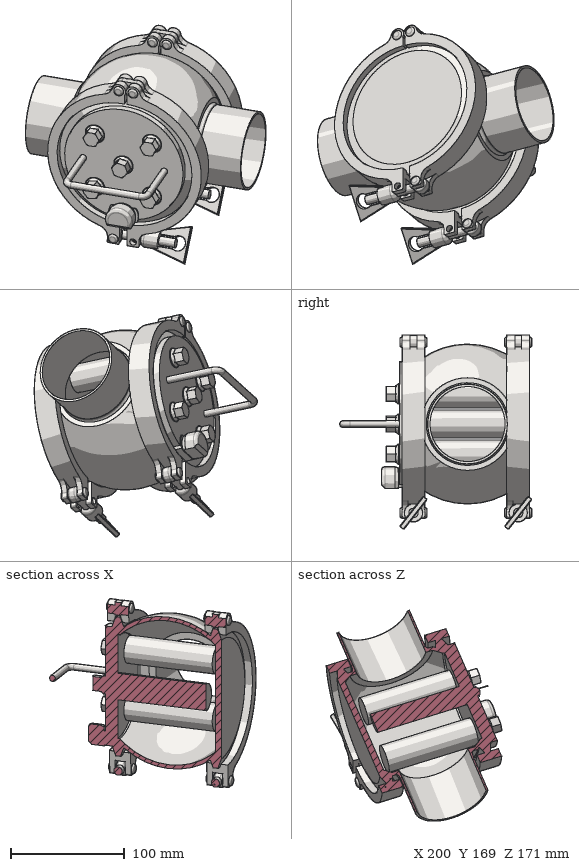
import cadquery as cq
import math


PIPE_LENGTH = 200
PIPE_DIA = 70
PIPE_BORE = 66
BALL_RADIUS = 70.5
BALL_WALL = 4
PORT_FLAT_X = 57.5
WELD_NECK_DIA = 70.5
WELD_NECK_LENGTH = 4
FLARE_DIA = 72.8
FLARE_LENGTH = 3.0

FRONT_JOINT_Y = -47.5
BACK_JOINT_Y = 44.5
FLANGE_RADIUS = 64.5
FLANGE_RIM = 2.5
FLANGE_TAPER = 3.5
COVER_RADIUS = 55.0
HOUSING_MOUTH_RADIUS = 48
COVER_FACE_Y = -59.8

TUBE_DIA = 25.0
TUBE_END_Y = 36
BOLT_SPACING = 53.0
BOLT_SEAT_DIA = 16.8
BOLT_SEAT_HEIGHT = 1.0
BOLT_FLANGE_DIA = 18
BOLT_FLANGE_TOP_DIA = 14
BOLT_FLANGE_HEIGHT = 2.8
BOLT_HEIGHT = 11.8
HEX_FLATS = 13.2
HEX_TOP_DIA = 14
HEX_CHAMFER = 0.5

HANDLE_DIA = 6
HANDLE_SPAN = 75.5
HANDLE_BEND = 6
HANDLE_END_Y = -112.5

KNOB_DIA = 25.0
KNOB_Z = -50
KNOB_FLAT_Z = -56.8
KNOB_BASE_Y = -60.8
KNOB_TOP_Y = -75.8
KNOB_ROUND = 3.2
KNOB_BASE_BEVEL = 1.2
KNOB_STEM_RADIUS = 13.8
KNOB_STEM_TOP_Z = -42.5
KNOB_STEM_BOTTOM_Z = -56

CLAMP_WIDTH = 20.2
CLAMP_RADIUS = 69.5
CLAMP_BORE_RADIUS = 60.8
CLAMP_CENTER_X = 1.8
CLAMP_CENTER_Z = -0.8
CLAMP_SPLIT_X = 2.2
HINGE_X = 1.2
PIN_X = 7.8
HINGE_Z = 72
EAR_RADIUS = 6.5
EAR_BLEND = 10
LINK_WIDTH = 6
LINK_RADIUS = 6.2
LUG_OUTER_X = 13.2
LUG_BOTTOM_Z = -83.0
LUG_CORNER = 1.2
LUG_BLEND = 10
LUG_SLOT = 9.5
ROOT_SEARCH = 4
LUG_HOLE_DIA = 6
OPENING_ANGLE = 2
PIN_DIA = 9.0
PIN_LENGTH = 24
PIN_ROUND = 1.8

EYE_BOLT_Z = -78.2
EYE_DIA = 13.5
EYE_WIDTH = 9.0
EYE_ROUND = 2
EYE_BOLT_DIA = 8.2
EYE_BOLT_END_X = 44.2
NUT_DIA = 16
NUT_END_X = 29.5
NUT_ROUND = 3.5
WING_START_X = 24
WING_END_X = 55.8
WING_START_WIDTH = 16
WING_END_WIDTH = 33.5
WING_THICKNESS = 4.5
WING_TILT = 38
WING_HOLE_DIA = 13.5
WING_HOLE_X = 46.8
WING_SLOT = 11.0
WING_BEVEL = 0.5


def y_cylinder(radius, start, end, x=0, z=0):
    """Cylinder along Y between two Y positions."""
    length = abs(end - start)
    disc = cq.Workplane("XZ", origin=(x, max(start, end), z)).circle(radius)
    return disc.extrude(length)


def x_cylinder(radius, start, end, z=0):
    """Cylinder along +X between two X positions."""
    return cq.Workplane("YZ", origin=(start, 0, z)).circle(radius).extrude(end - start)


def y_revolve(points):
    """Turn a (radius, y) outline about the Y axis."""
    return cq.Workplane("XY").polyline(points).close().revolve(360, (0, 0), (0, 1))


def half_flange(joint_y, side, tip_radius):
    """One tapered flange; side is +1 when it extends toward +Y."""
    rim_y = joint_y + side * FLANGE_RIM
    tip_y = rim_y + side * FLANGE_TAPER
    return y_revolve([(0, joint_y), (FLANGE_RADIUS, joint_y), (FLANGE_RADIUS, rim_y),
                      (tip_radius, tip_y), (0, tip_y)])


def make_housing():
    middle_y = (FRONT_JOINT_Y + BACK_JOINT_Y) / 2
    joint_gap = BACK_JOINT_Y - FRONT_JOINT_Y
    envelope = cq.Workplane("XY").box(2 * PORT_FLAT_X, joint_gap, 2 * BALL_RADIUS)
    envelope = envelope.translate((0, middle_y, 0))
    flanges = half_flange(FRONT_JOINT_Y, 1, COVER_RADIUS)
    flanges = flanges.union(half_flange(BACK_JOINT_Y, -1, COVER_RADIUS))
    body = cq.Workplane("XY").sphere(BALL_RADIUS).intersect(envelope).union(flanges)

    neck_end = PORT_FLAT_X + WELD_NECK_LENGTH
    flare_end = PORT_FLAT_X + FLARE_LENGTH
    neck_radius = WELD_NECK_DIA / 2
    flare_rise = FLARE_DIA / 2 - neck_radius
    flare_arc = (FLARE_LENGTH ** 2 + flare_rise ** 2) / (2 * flare_rise)
    pipe_end = PIPE_LENGTH / 2
    pipe = (cq.Workplane("XY").lineTo(0, FLARE_DIA / 2).lineTo(PORT_FLAT_X, FLARE_DIA / 2)
            .radiusArc((flare_end, neck_radius), -flare_arc).lineTo(neck_end, neck_radius)
            .lineTo(neck_end, PIPE_DIA / 2).lineTo(pipe_end, PIPE_DIA / 2).lineTo(pipe_end, 0)
            .close().revolve(360, (0, 0), (1, 0)))
    body = body.union(pipe).union(pipe.mirror("YZ"))

    inner_envelope = cq.Workplane("XY").box(2 * (PORT_FLAT_X - BALL_WALL), joint_gap, 2 * BALL_RADIUS)
    inner_envelope = inner_envelope.translate((0, middle_y, 0))
    cavity = cq.Workplane("XY").sphere(BALL_RADIUS - BALL_WALL).intersect(inner_envelope)
    mouths = y_cylinder(HOUSING_MOUTH_RADIUS, FRONT_JOINT_Y, BACK_JOINT_Y)
    bore = x_cylinder(PIPE_BORE / 2, -PIPE_LENGTH / 2, PIPE_LENGTH / 2)
    return body.cut(cavity).cut(mouths).cut(bore)


def make_covers():
    front = half_flange(FRONT_JOINT_Y, -1, COVER_RADIUS)
    front = front.union(y_cylinder(COVER_RADIUS, FRONT_JOINT_Y, COVER_FACE_Y))
    return front.union(half_flange(BACK_JOINT_Y, 1, COVER_RADIUS))


def make_bolt(x, z, turn):
    """Flanged hex head on the front cover, one corner toward +X before turning."""
    flange_y = COVER_FACE_Y - BOLT_SEAT_HEIGHT
    end_y = COVER_FACE_Y - BOLT_HEIGHT
    corner_dia = HEX_FLATS / math.cos(math.pi / 6)
    flange = y_revolve([(0, COVER_FACE_Y), (BOLT_SEAT_DIA / 2, COVER_FACE_Y), (BOLT_SEAT_DIA / 2, flange_y),
                        (BOLT_FLANGE_DIA / 2, flange_y),
                        (BOLT_FLANGE_TOP_DIA / 2, flange_y - BOLT_FLANGE_HEIGHT),
                        (0, flange_y - BOLT_FLANGE_HEIGHT)])
    head = cq.Workplane("XZ", origin=(0, COVER_FACE_Y, 0)).polygon(6, corner_dia).extrude(BOLT_HEIGHT)
    head_limit = y_revolve([(0, COVER_FACE_Y), (corner_dia / 2, COVER_FACE_Y),
                            (corner_dia / 2, end_y + HEX_CHAMFER), (HEX_TOP_DIA / 2, end_y), (0, end_y)])
    head = head.intersect(head_limit).rotate((0, 0, 0), (0, -1, 0), turn)
    return flange.union(head).translate((x, 0, z))


def make_handle():
    bar_y = HANDLE_END_Y + HANDLE_DIA / 2
    bend_y = bar_y + HANDLE_BEND
    leg_x = HANDLE_SPAN / 2
    bend_x = leg_x - HANDLE_BEND
    path = (cq.Workplane("XY").moveTo(-leg_x, FRONT_JOINT_Y - FLANGE_RIM).lineTo(-leg_x, bend_y)
            .radiusArc((-bend_x, bar_y), -HANDLE_BEND).lineTo(bend_x, bar_y)
            .radiusArc((leg_x, bend_y), -HANDLE_BEND).lineTo(leg_x, FRONT_JOINT_Y - FLANGE_RIM))
    start = cq.Workplane("XZ", origin=(-leg_x, FRONT_JOINT_Y - FLANGE_RIM, 0)).circle(HANDLE_DIA / 2)
    return start.sweep(path)


def below(z):
    """Large block under a given height, used to trim the drain knob."""
    size = 4 * BALL_RADIUS
    return cq.Workplane("XY").box(size, size, size).translate((0, 0, z - size / 2))


def make_knob():
    knob = y_cylinder(KNOB_DIA / 2, KNOB_BASE_Y, KNOB_TOP_Y, z=KNOB_Z)
    knob = knob.faces("<Y").edges().fillet(KNOB_ROUND)
    knob = knob.faces(">Y").edges().chamfer(KNOB_ROUND, KNOB_BASE_BEVEL)
    knob = knob.cut(below(KNOB_FLAT_Z))
    bevel_start = (KNOB_TOP_Y + KNOB_ROUND, KNOB_FLAT_Z)
    bevel = (cq.Workplane("YZ", origin=(-KNOB_DIA / 2, 0, 0))
             .polyline([bevel_start, (KNOB_TOP_Y, KNOB_FLAT_Z), (KNOB_TOP_Y, KNOB_FLAT_Z + KNOB_ROUND)])
             .close().extrude(KNOB_DIA))
    stem = y_cylinder(KNOB_STEM_RADIUS, FRONT_JOINT_Y - FLANGE_RIM, KNOB_BASE_Y, z=KNOB_Z)
    stem = stem.intersect(below(KNOB_STEM_TOP_Z)).cut(below(KNOB_STEM_BOTTOM_Z))
    return knob.cut(bevel).union(stem)


def make_pin(x, z):
    half = PIN_LENGTH / 2
    return y_cylinder(PIN_DIA / 2, -half, half, x, z).faces("<Y or >Y").edges().fillet(PIN_ROUND)


def blend_root(clamp_half, x, z, radius):
    """Round the inner corner across the clamp width near the given (x, z) point."""
    around = ROOT_SEARCH
    corner = cq.selectors.BoxSelector((x - around, -around, z - around), (x + around, around, z + around))
    return clamp_half.edges(corner).fillet(radius)


def make_clamp_half():
    """Right-hand clamp half with hinge ear on top and bolt lug below."""
    half_width = CLAMP_WIDTH / 2
    disc = y_cylinder(CLAMP_RADIUS, -half_width, half_width, CLAMP_CENTER_X, CLAMP_CENTER_Z)
    ear = y_cylinder(EAR_RADIUS, -half_width, half_width, PIN_X, HINGE_Z)
    lug = (cq.Workplane("XY").box(LUG_OUTER_X - CLAMP_SPLIT_X, CLAMP_WIDTH, -LUG_BOTTOM_Z, centered=False)
           .translate((CLAMP_SPLIT_X, -half_width, LUG_BOTTOM_Z)))
    lug = lug.edges("|Y and <Z").fillet(LUG_CORNER)

    half = disc.union(ear).union(lug)
    half = blend_root(half, PIN_X + EAR_RADIUS, CLAMP_RADIUS, EAR_BLEND)
    half = blend_root(half, LUG_OUTER_X, -CLAMP_RADIUS, LUG_BLEND)

    reach = 2 * CLAMP_RADIUS
    slots = (cq.Workplane("XY").box(reach, LINK_WIDTH, reach).translate((0, 0, reach / 2))
             .union(cq.Workplane("XY").box(reach, LUG_SLOT, reach).translate((0, 0, -reach / 2)))
             .cut(disc))
    bore = y_cylinder(CLAMP_BORE_RADIUS, -half_width, half_width, CLAMP_CENTER_X, CLAMP_CENTER_Z)
    other_side = cq.Workplane("XY").box(reach, reach, 2 * reach).translate((CLAMP_SPLIT_X - reach / 2, 0, 0))
    other_side = other_side.cut(ear)
    half = half.cut(slots).cut(bore).cut(other_side)
    return half.union(make_pin(PIN_X, HINGE_Z))


def make_link():
    """Hinge link joining the two ears."""
    length = 2 * (PIN_X - HINGE_X + LINK_RADIUS)
    link = cq.Workplane("XZ", origin=(HINGE_X, 0, HINGE_Z)).slot2D(length, 2 * LINK_RADIUS)
    return link.extrude(LINK_WIDTH / 2, both=True)


def make_wing_nut():
    nut = x_cylinder(NUT_DIA / 2, LUG_OUTER_X, NUT_END_X, EYE_BOLT_Z).faces("<X").edges().fillet(NUT_ROUND)
    outline = [(WING_START_X, -WING_START_WIDTH / 2), (WING_END_X, -WING_END_WIDTH / 2),
               (WING_END_X, WING_END_WIDTH / 2), (WING_START_X, WING_START_WIDTH / 2)]
    wing = cq.Workplane("XZ").polyline(outline).close().extrude(WING_THICKNESS / 2, both=True)
    wing = wing.faces("<Y or >Y").edges().chamfer(WING_BEVEL)
    hole = y_cylinder(WING_HOLE_DIA / 2, -WING_THICKNESS, WING_THICKNESS, WING_HOLE_X)
    slot_length = WING_HOLE_X - NUT_END_X
    slot = cq.Workplane("XY").box(slot_length, 2 * WING_THICKNESS, WING_SLOT)
    slot = slot.translate((NUT_END_X + slot_length / 2, 0, 0))
    wing = wing.cut(hole).cut(slot).rotate((0, 0, 0), (1, 0, 0), -WING_TILT)
    return nut.union(wing.translate((0, 0, EYE_BOLT_Z)))


def make_clamp():
    """Complete clamp centred on the joint plane, its second half swung slightly open."""
    fixed_half = make_clamp_half()
    far_pin_x = 2 * HINGE_X - PIN_X
    swung_half = fixed_half.mirror("YZ").translate((2 * HINGE_X, 0, 0)).union(make_pin(far_pin_x, EYE_BOLT_Z))
    swung_half = swung_half.rotate((far_pin_x, 0, HINGE_Z), (far_pin_x, -1, HINGE_Z), -OPENING_ANGLE)
    fixed_half = fixed_half.cut(y_cylinder(LUG_HOLE_DIA / 2, -CLAMP_WIDTH, CLAMP_WIDTH, PIN_X, EYE_BOLT_Z))

    eye_x = far_pin_x - (HINGE_Z - EYE_BOLT_Z) * math.sin(math.radians(OPENING_ANGLE))
    eye = y_cylinder(EYE_DIA / 2, -EYE_WIDTH / 2, EYE_WIDTH / 2, eye_x, EYE_BOLT_Z)
    eye = eye.faces("<Y or >Y").edges().fillet(EYE_ROUND)
    eye_bolt = eye.union(x_cylinder(EYE_BOLT_DIA / 2, eye_x, EYE_BOLT_END_X, EYE_BOLT_Z))
    return fixed_half.union(swung_half).union(make_link()).union(eye_bolt).union(make_wing_nut())


result = make_housing().union(make_covers()).union(make_handle()).union(make_knob())

bolt_offset = BOLT_SPACING / 2
bolts = [(-bolt_offset, bolt_offset, 0), (bolt_offset, bolt_offset, 0), (0, 0, -11),
         (-bolt_offset, -bolt_offset, 9), (bolt_offset, -bolt_offset, 0)]
for bolt_x, bolt_z, bolt_turn in bolts:
    result = result.union(y_cylinder(TUBE_DIA / 2, FRONT_JOINT_Y - FLANGE_RIM, TUBE_END_Y, bolt_x, bolt_z))
    result = result.union(make_bolt(bolt_x, bolt_z, bolt_turn))

clamp = make_clamp()
for joint_y in (FRONT_JOINT_Y, BACK_JOINT_Y):
    result = result.union(clamp.translate((0, joint_y, 0)))